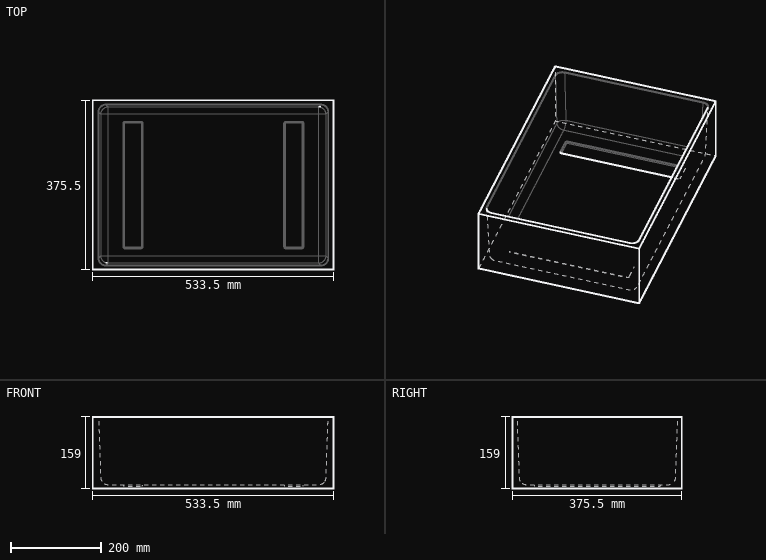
import cadquery as cq

LENGTH = 533.5
WIDTH = 375.5
HEIGHT = 159.0

END_RIM = 13.0
SIDE_RIM = 10.0
FLOOR_THICKNESS = 9.0
WALL_DRAFT = 2.0
BASIN_RADIUS = 16.0

EDGE_RADIUS = 1.5

RECESS_WIDTH = 45.0
RECESS_LENGTH = 282.5
RECESS_SPACING = 356.5
RECESS_DEPTH = 3.0
RECESS_CORNER_RADIUS = 4.0
RECESS_FLOOR_RADIUS = 2.0


def basin():
    """Drafted basin volume, widest at the rim."""
    depth = HEIGHT - FLOOR_THICKNESS
    return (
        cq.Workplane("XY", origin=(0, 0, HEIGHT))
        .rect(LENGTH - 2 * END_RIM, WIDTH - 2 * SIDE_RIM)
        .extrude(-depth, taper=WALL_DRAFT)
        .edges("not >Z")
        .fillet(BASIN_RADIUS)
    )


def recess(x_center):
    """Shallow floor recess with rounded corners and a rounded bottom edge."""
    return (
        cq.Workplane("XY", origin=(x_center, 0, FLOOR_THICKNESS))
        .rect(RECESS_WIDTH - 2 * EDGE_RADIUS, RECESS_LENGTH - 2 * EDGE_RADIUS)
        .extrude(-RECESS_DEPTH)
        .edges("|Z")
        .fillet(RECESS_CORNER_RADIUS)
        .edges("<Z")
        .fillet(RECESS_FLOOR_RADIUS)
    )


def round_openings(solid, height):
    """Round over every inner edge loop of the upward face at the given height."""
    upward_faces = solid.faces("+Z").vals()
    face = min(upward_faces, key=lambda candidate: abs(candidate.Center().z - height))
    edges = [edge for loop in face.innerWires() for edge in loop.Edges()]
    return solid.newObject(edges).fillet(EDGE_RADIUS)


result = cq.Workplane("XY").box(LENGTH, WIDTH, HEIGHT, centered=(True, True, False))
result = round_openings(result.cut(basin()), HEIGHT)

for side in (-1, 1):
    result = result.cut(recess(side * RECESS_SPACING / 2))
result = round_openings(result, FLOOR_THICKNESS)